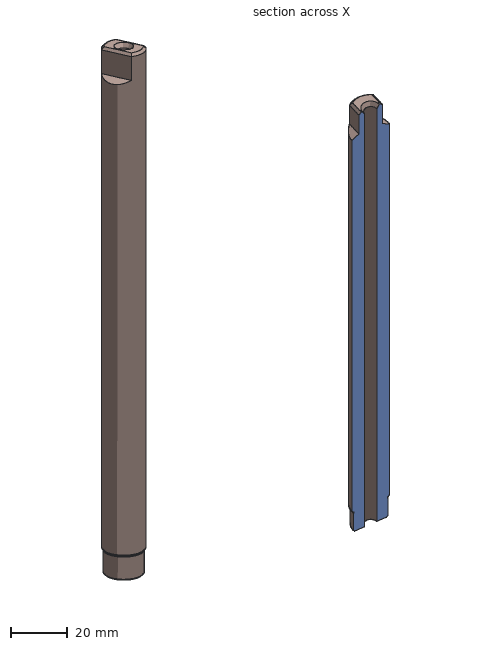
import cadquery as cq
import math

length = 200.0
rod_diameter = 15.8
shoulder_chamfer = 0.5
spigot_diameter = 14.5
spigot_length = 10.0
spigot_chamfer = 0.5
relief_width = 0.5
relief_depth = 0.2
flats_width = 10.0
flats_length = 10.0
run_out_angle = 30.0
top_chamfer = 1.0
bore_diameter = 5.0
countersink_diameter = 7.0
countersink_angle = 60.0

rod_radius = rod_diameter / 2
spigot_radius = spigot_diameter / 2
flat_offset = flats_width / 2


def make_rod():
    """Round rod with a chamfered shoulder, a relief groove and a spigot below it."""
    shoulder_bottom = spigot_length - shoulder_chamfer
    relief_bottom = shoulder_bottom - relief_width
    relief_radius = spigot_radius - relief_depth
    profile = [
        (0, 0),
        (spigot_radius - spigot_chamfer, 0),
        (spigot_radius, spigot_chamfer),
        (spigot_radius, relief_bottom),
        (relief_radius, relief_bottom),
        (relief_radius, shoulder_bottom),
        (rod_radius - shoulder_chamfer, shoulder_bottom),
        (rod_radius, spigot_length),
        (rod_radius, length),
        (0, length),
    ]
    return cq.Workplane("XZ").polyline(profile).close().revolve(360, (0, 0, 0), (0, 1, 0))


def make_flat_cutter():
    """Material beside the +Y flat, with a floor that slopes down outwards."""
    flat_bottom = length - flats_length
    flat_depth = rod_radius - flat_offset
    run_out_drop = flat_depth * math.tan(math.radians(run_out_angle))
    return (
        cq.Workplane("YZ")
        .moveTo(flat_offset, length)
        .lineTo(flat_offset, flat_bottom)
        .lineTo(rod_radius, flat_bottom - run_out_drop)
        .lineTo(rod_radius, length)
        .close()
        .extrude(rod_radius, both=True)
    )


def make_bore_cutter():
    """Through bore with a conical countersink at the top."""
    bore_radius = bore_diameter / 2
    countersink_radius = countersink_diameter / 2
    countersink_step = countersink_radius - bore_radius
    countersink_depth = countersink_step / math.tan(math.radians(countersink_angle / 2))
    countersink_bottom = length - countersink_depth
    profile = [
        (0, 0),
        (bore_radius, 0),
        (bore_radius, countersink_bottom),
        (countersink_radius, length),
        (0, length),
    ]
    return cq.Workplane("XZ").polyline(profile).close().revolve(360, (0, 0, 0), (0, 1, 0))


flat_cutter = make_flat_cutter()
body = make_rod().cut(flat_cutter).cut(flat_cutter.mirror("XZ"))
body = body.faces(">Z").chamfer(top_chamfer)
result = body.cut(make_bore_cutter())